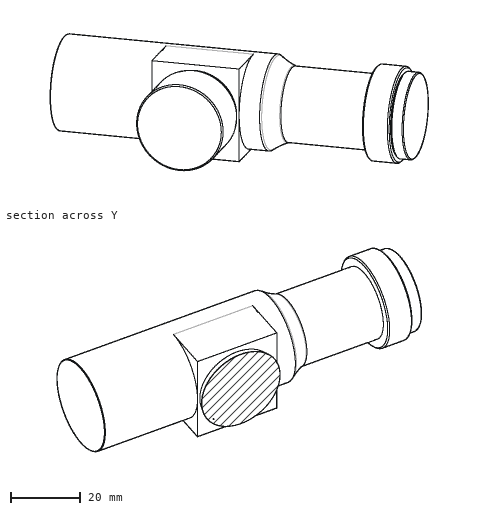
import cadquery as cq

total_length = 105.3
body_radius = 14.0
body_end_chamfer = 0.2
shoulder_start = 62.8
taper_start = 63.3
taper_start_radius = 13.7
taper_middle = 65.4
taper_middle_radius = 12.3
taper_end = 67.9
taper_end_radius = 11.2
neck_start = 68.2
neck_radius = 11.1

flange_start = 93.4
flange_end = 101.4
groove_end = 101.8
groove_radius = 12.2
disc_radius = 12.6
disc_chamfer = 0.3
edge_chamfer = 0.4

branch_x = 43.6
block_length = 26.1
branch_radius = 13.0
collar_radius = 12.3
collar_end = 16.1
branch_end = 29.9


def make_run():
    """Revolve the stepped run, with its concave taper, about the X axis."""
    flange_rim = body_radius - edge_chamfer
    disc_rim = disc_radius - disc_chamfer
    profile = (
        cq.Workplane("XY")
        .lineTo(0, body_radius - body_end_chamfer)
        .lineTo(body_end_chamfer, body_radius)
        .lineTo(shoulder_start, body_radius)
        .lineTo(taper_start, taper_start_radius)
        .threePointArc((taper_middle, taper_middle_radius), (taper_end, taper_end_radius))
        .lineTo(neck_start, neck_radius)
        .lineTo(flange_start, neck_radius)
        .lineTo(flange_start, flange_rim)
        .lineTo(flange_start + edge_chamfer, body_radius)
        .lineTo(flange_end - edge_chamfer, body_radius)
        .lineTo(flange_end, flange_rim)
        .lineTo(flange_end, groove_radius)
        .lineTo(groove_end, groove_radius)
        .lineTo(groove_end, disc_radius)
        .lineTo(total_length - disc_chamfer, disc_radius)
        .lineTo(total_length, disc_rim)
        .lineTo(total_length, 0)
        .close()
    )
    return profile.revolve(360, (0, 0, 0), (1, 0, 0))


def make_block():
    """Box from the run axis out to the -Y side of the body."""
    return (
        cq.Workplane("XY")
        .box(block_length, body_radius, 2 * body_radius)
        .translate((branch_x, -body_radius / 2, 0))
    )


def make_branch():
    """Collar and wider chamfered cap, both pointing along -Y."""
    axis_plane = cq.Workplane("XZ", origin=(branch_x, 0, 0))
    collar = axis_plane.circle(collar_radius).extrude(collar_end)
    cap = (
        axis_plane.workplane(offset=collar_end)
        .circle(branch_radius)
        .extrude(branch_end - collar_end)
        .faces("<Y")
        .chamfer(edge_chamfer)
    )
    return collar.union(cap)


result = make_run().union(make_block()).union(make_branch())